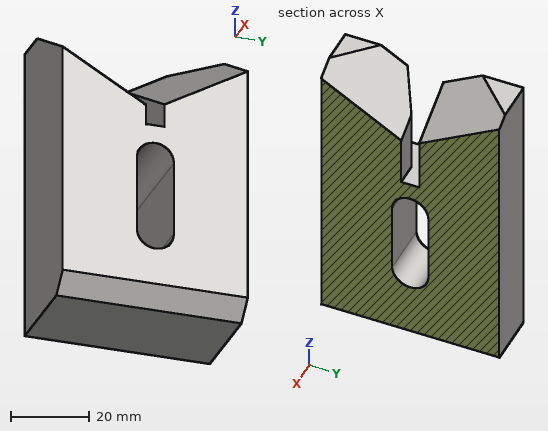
import cadquery as cq
import math

depth = 30.0
width = 50.0
height = 80.0
half_width = width / 2
base_chamfer = 5.0

slot_width = 10.0
throat_width = slot_width / 2
slot_floor = 50.0
slot_wall = throat_width / 2
flare_angle = math.radians(30)
flare_length = (slot_width - throat_width) / math.tan(flare_angle)

window_width = 10.0
window_length = 30.0
window_bottom = 15.0

back_flat = 11.5
front_flat = 10.0
cut_slope = math.tan(math.radians(30))


def block():
    body = cq.Workplane("XY").box(depth, width, height, centered=(False, True, False))
    return body.edges(">X and <Z").chamfer(base_chamfer)


def flared_slot():
    outline = [
        (0, slot_wall),
        (depth, slot_wall),
        (depth, -slot_wall),
        (flare_length, -slot_wall),
        (0, slot_wall - slot_width),
    ]
    floor = cq.Workplane("XY", origin=(0, 0, slot_floor))
    return floor.polyline(outline).close().extrude(height - slot_floor)


def window():
    centre = (0, 0, window_bottom + window_length / 2)
    return cq.Workplane("YZ", origin=centre).slot2D(window_length, window_width, 90).extrude(depth)


def corner_cut(side, flat):
    """Material above a plane falling equally away from one top -X corner; side is +1 for +Y."""
    diagonal_slope = cut_slope * math.sqrt(2)
    start = flat / math.sqrt(2)
    reach = depth + width
    drop = (reach - start) * diagonal_slope
    corner = cq.Plane(origin=(0, side * half_width, height), xDir=(1, -side, 0), normal=(-side, -1, 0))
    wedge = (
        cq.Workplane(corner)
        .polyline([(start, 0), (reach, 0), (reach, -drop)])
        .close()
        .extrude(reach, both=True)
    )
    jaw_width = half_width - slot_wall
    jaw_centre = side * (half_width + slot_wall) / 2
    jaw = cq.Workplane("XY").box(depth, jaw_width, height, centered=(False, True, False))
    return wedge.intersect(jaw.translate((0, jaw_centre, 0)))


result = block().cut(flared_slot()).cut(window())
result = result.cut(corner_cut(1, back_flat)).cut(corner_cut(-1, front_flat))